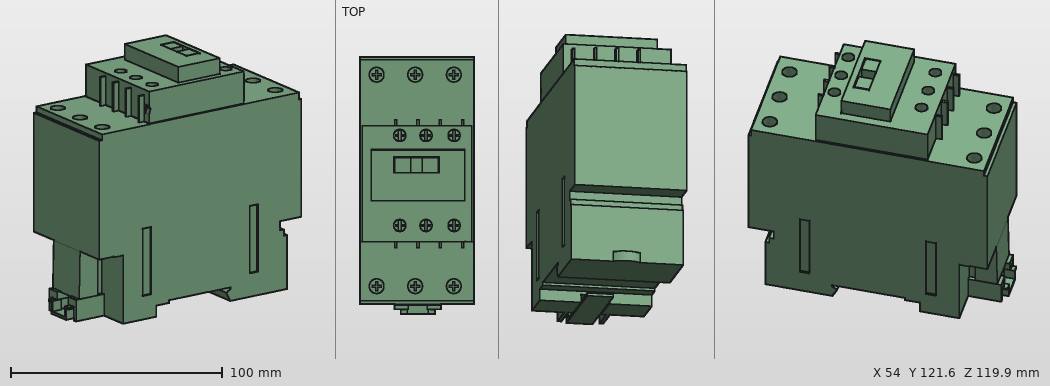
import cadquery as cq
WIDTH = 54.0
TOTAL_HEIGHT = 119.9
Y_BACK = 60.8
Y_FRONT = -60.8

HOUSING_TOP = 96.3
TOP_STEP = 0.1
TOP_STEP_Y = -26.5
BACK_LEDGE_Y = 59.5
BACK_LEDGE_Z = 92.7
FRONT_LEDGE_Y = -54.4
FRONT_LEDGE_Z = 93.2
FACE_Y = -56.1
OVERHANG_Z = 34.3
OVERHANG_STEP_Y = -47.6
OVERHANG_STEP_Z = 34.0
LOWER_FACE_Y = -42.4
NECK_Y = 48.5
NECK_Z = 29.8
SHOULDER_Y = 50.7
SHOULDER_Z = 26.8
FOOT_BACK_Y = 52.6

HOOK_BASE_Y = 19.7
HOOK_TIP_Y = 17.4
HOOK_TIP_Z = 4.5
HOOK_ROOT_Y = 20.0
HOOK_ROOT_Z = 6.1
RAIL_CEILING_Z = 6.8
RAIL_STEP_Y = -15.7
RAIL_STEP_Z = 5.5
RAIL_FRONT_Y = -23.0

SIDE_RECESSES = [(35.8, 31.0), (-25.9, -30.9)]
SIDE_RECESS_BOTTOM = 11.7
SIDE_RECESS_TOP = 45.0
SIDE_RECESS_DEPTH = 1.0

CENTRE_X = 0.4
COIL_WIDTH = 21.8
COIL_FACE_Y = -56.6
COIL_BOTTOM = 10.3
COIL_NECK_INSET = 1.8
COIL_NECK_LENGTH = 3.4
BRACKET_WIDTH = 22.0
BRACKET_FRONT_Y = -58.5
BRACKET_TOP = 10.7
BRACKET_NOTCH_WIDTH = 9.1
BRACKET_CAVITY_WIDTH = 18.4
BRACKET_CAVITY_TOP = 6.8

CLIP_WIDTH = 12.5
CLIP_BACK_Y = -10.6
CLIP_FLOOR = 1.3
CLIP_WALL = 1.3
CLIP_WALL_LENGTH = 5.1
CLIP_WALL_TOP = 6.5
CLIP_LIP_WIDTH = 16.3
CLIP_LIP_THICKNESS = 0.9
CLIP_LIP_LENGTH = 2.2
TUNNEL_WIDTH = 13.5
TUNNEL_TOP = 3.9

LUG_HEIGHT = 4.7
LUG_HALF_WIDTH = 6.6
LUG_LENGTH = 2.2

MAIN_SCREW_X = [-19.1, -0.9, 17.4]
MAIN_SCREW_Y = [52.5, -47.6]
MAIN_HOLE_DIAMETER = 6.9
MAIN_CROSS_LENGTH = 4.3
MAIN_CROSS_WIDTH = 1.0
HOLE_DEPTH = 12.2
CROSS_DEPTH = 1.0

AUX_WIDTH = 52.0
AUX_BACK_Y = 28.2
AUX_FRONT_Y = TOP_STEP_Y
AUX_TOP = 112.1
AUX_SCREW_X = [-8.2, 4.3, 17.5]
AUX_SCREW_Y = [23.7, -18.9]
AUX_HOLE_DIAMETER = 5.7
AUX_CROSS_X_LENGTH = 4.0
AUX_CROSS_X_WIDTH = 0.9
AUX_CROSS_Y_LENGTH = 4.9
AUX_CROSS_Y_WIDTH = 1.3

FINS = [(-10.0, 1.0, 110.5), (0.5, 1.3, 110.5), (11.0, 1.0, 110.1), (21.7, 1.0, 109.3)]
FIN_LENGTH = 2.9

NOTCH_LEFT_X = 22.9
NOTCH_BOTTOM = 100.6
NOTCH_APEX_Z = 103.3
NOTCH_TOP = 104.9
NOTCH_DEPTH = 0.9

COVER_LEFT_X = -21.7
COVER_RIGHT_X = 22.5
COVER_BACK_Y = 16.8
COVER_FRONT_Y = -7.2
COVER_GROOVE_WIDTH = 0.4
COVER_GROOVE_DEPTH = 0.4
WINDOW_LEFT_X = -11.0
WINDOW_RIGHT_X = 10.6
WINDOW_BACK_Y = 13.8
WINDOW_FRONT_Y = 6.1
WINDOW_DEPTH = 9.7
SLIDER_GAP = 0.5
SLOT_LEFT_X = -2.9
SLOT_RIGHT_X = 2.4
SLOT_DEPTH = 7.3


def block(x0, x1, y0, y1, z0, z1):
    """Box between the given limits."""
    return cq.Workplane("XY").box(x1 - x0, y1 - y0, z1 - z0, centered=False).translate((x0, y0, z0))


def centred_block(width, y0, y1, z0, z1):
    """Box of the given width about the mid-plane of the coil block and clip."""
    return block(CENTRE_X - width / 2, CENTRE_X + width / 2, y0, y1, z0, z1)


def yz_prism(points, x0, x1):
    """Outline of (y, z) points, extruded from x0 to x1."""
    return cq.Workplane("YZ", origin=(x0, 0, 0)).polyline(points).close().extrude(x1 - x0)


def screw_recesses(centres, top, diameter, x_arm, y_arm):
    """Round holes with a cross sunk into each floor; an arm is (size along X, size along Y)."""
    floor = top - HOLE_DEPTH
    holes = cq.Workplane("XY", origin=(0, 0, floor)).pushPoints(centres)
    holes = holes.circle(diameter / 2).extrude(HOLE_DEPTH)
    for arm in (x_arm, y_arm):
        cross = cq.Workplane("XY", origin=(0, 0, floor - CROSS_DEPTH)).pushPoints(centres)
        holes = holes.union(cross.rect(*arm).extrude(CROSS_DEPTH))
    return holes


def housing_shell():
    """Main outline with its overhangs, stepped back and rail recess."""
    front_top = HOUSING_TOP - TOP_STEP
    outline = [
        (BACK_LEDGE_Y, HOUSING_TOP),
        (BACK_LEDGE_Y, BACK_LEDGE_Z),
        (Y_BACK, BACK_LEDGE_Z),
        (Y_BACK, OVERHANG_Z),
        (NECK_Y, OVERHANG_Z),
        (NECK_Y, NECK_Z),
        (SHOULDER_Y, NECK_Z),
        (SHOULDER_Y, SHOULDER_Z),
        (FOOT_BACK_Y, SHOULDER_Z),
        (FOOT_BACK_Y, 0),
        (HOOK_BASE_Y, 0),
        (HOOK_TIP_Y, HOOK_TIP_Z),
        (HOOK_ROOT_Y, HOOK_ROOT_Z),
        (HOOK_ROOT_Y, RAIL_CEILING_Z),
        (RAIL_STEP_Y, RAIL_CEILING_Z),
        (RAIL_STEP_Y, RAIL_STEP_Z),
        (RAIL_FRONT_Y, RAIL_STEP_Z),
        (RAIL_FRONT_Y, 0),
        (LOWER_FACE_Y, 0),
        (LOWER_FACE_Y, OVERHANG_STEP_Z),
        (OVERHANG_STEP_Y, OVERHANG_STEP_Z),
        (OVERHANG_STEP_Y, OVERHANG_Z),
        (FACE_Y, OVERHANG_Z),
        (FACE_Y, FRONT_LEDGE_Z),
        (FRONT_LEDGE_Y, FRONT_LEDGE_Z),
        (FRONT_LEDGE_Y, front_top),
        (TOP_STEP_Y, front_top),
        (TOP_STEP_Y, HOUSING_TOP),
    ]
    return yz_prism(outline, -WIDTH / 2, WIDTH / 2)


def coil_block():
    """Block under the front overhang, narrower where it meets the housing."""
    neck_y = LOWER_FACE_Y - COIL_NECK_LENGTH
    head_outline = [
        (neck_y, OVERHANG_Z),
        (FACE_Y, OVERHANG_Z),
        (COIL_FACE_Y, COIL_BOTTOM),
        (neck_y, COIL_BOTTOM),
    ]
    head = yz_prism(head_outline, CENTRE_X - COIL_WIDTH / 2, CENTRE_X + COIL_WIDTH / 2)
    neck_width = COIL_WIDTH - 2 * COIL_NECK_INSET
    neck = centred_block(neck_width, neck_y, LOWER_FACE_Y, COIL_BOTTOM, OVERHANG_Z)
    return head.union(neck)


def bracket():
    """Guide around the front end of the clip, open at the bottom and notched in the middle."""
    limits_y = (BRACKET_FRONT_Y, LOWER_FACE_Y)
    body = centred_block(BRACKET_WIDTH, *limits_y, 0, BRACKET_TOP)
    cavity = centred_block(BRACKET_CAVITY_WIDTH, *limits_y, 0, BRACKET_CAVITY_TOP)
    notch = centred_block(BRACKET_NOTCH_WIDTH, *limits_y, 0, BRACKET_TOP)
    return body.cut(cavity).cut(notch)


def back_lug():
    """Shallow rounded lug at the foot of the back face."""
    lug = cq.Workplane("XY").moveTo(CENTRE_X - LUG_HALF_WIDTH, FOOT_BACK_Y)
    lug = lug.threePointArc(
        (CENTRE_X, FOOT_BACK_Y + LUG_LENGTH), (CENTRE_X + LUG_HALF_WIDTH, FOOT_BACK_Y)
    )
    return lug.close().extrude(LUG_HEIGHT)


def make_housing():
    body = housing_shell().union(bracket()).union(coil_block()).union(back_lug())

    for rear_y, front_y in SIDE_RECESSES:
        for outer_x in (-WIDTH / 2, WIDTH / 2 - SIDE_RECESS_DEPTH):
            inner_x = outer_x + SIDE_RECESS_DEPTH
            body = body.cut(
                block(outer_x, inner_x, front_y, rear_y, SIDE_RECESS_BOTTOM, SIDE_RECESS_TOP)
            )

    body = body.cut(centred_block(TUNNEL_WIDTH, LOWER_FACE_Y, RAIL_FRONT_Y, 0, TUNNEL_TOP))

    centres = [(x, y) for x in MAIN_SCREW_X for y in MAIN_SCREW_Y]
    x_arm = (MAIN_CROSS_LENGTH, MAIN_CROSS_WIDTH)
    y_arm = (MAIN_CROSS_WIDTH, MAIN_CROSS_LENGTH)
    return body.cut(screw_recesses(centres, HOUSING_TOP, MAIN_HOLE_DIAMETER, x_arm, y_arm))


def make_auxiliary_block():
    half = AUX_WIDTH / 2
    body = block(-half, half, AUX_FRONT_Y, AUX_BACK_Y, HOUSING_TOP, AUX_TOP)
    cover = block(COVER_LEFT_X, COVER_RIGHT_X, COVER_FRONT_Y, COVER_BACK_Y, AUX_TOP, TOTAL_HEIGHT)
    body = body.union(cover)

    for x, thickness, top in FINS:
        body = body.union(
            block(
                x - thickness / 2,
                x + thickness / 2,
                AUX_FRONT_Y - FIN_LENGTH,
                AUX_BACK_Y + FIN_LENGTH,
                HOUSING_TOP,
                top,
            )
        )

    body = body.cut(
        block(
            COVER_LEFT_X,
            COVER_RIGHT_X,
            COVER_BACK_Y,
            COVER_BACK_Y + COVER_GROOVE_WIDTH,
            AUX_TOP - COVER_GROOVE_DEPTH,
            AUX_TOP,
        )
    )

    window_floor = TOTAL_HEIGHT - WINDOW_DEPTH
    body = body.cut(
        block(WINDOW_LEFT_X, WINDOW_RIGHT_X, WINDOW_FRONT_Y, WINDOW_BACK_Y, window_floor, TOTAL_HEIGHT)
    )

    notch = [
        (AUX_FRONT_Y, NOTCH_BOTTOM),
        (AUX_FRONT_Y + NOTCH_DEPTH, NOTCH_APEX_Z),
        (AUX_FRONT_Y, NOTCH_TOP),
    ]
    body = body.cut(yz_prism(notch, NOTCH_LEFT_X, half))

    centres = [(x, y) for x in AUX_SCREW_X for y in AUX_SCREW_Y]
    x_arm = (AUX_CROSS_X_LENGTH, AUX_CROSS_X_WIDTH)
    y_arm = (AUX_CROSS_Y_WIDTH, AUX_CROSS_Y_LENGTH)
    return body.cut(screw_recesses(centres, AUX_TOP, AUX_HOLE_DIAMETER, x_arm, y_arm))


def make_slider():
    """Slider standing on the window floor, touching the front, with a slot across its top."""
    body = block(
        WINDOW_LEFT_X + SLIDER_GAP,
        WINDOW_RIGHT_X - SLIDER_GAP,
        WINDOW_FRONT_Y,
        WINDOW_BACK_Y - SLIDER_GAP,
        TOTAL_HEIGHT - WINDOW_DEPTH,
        TOTAL_HEIGHT,
    )
    slot = block(
        SLOT_LEFT_X, SLOT_RIGHT_X, WINDOW_FRONT_Y, WINDOW_BACK_Y, TOTAL_HEIGHT - SLOT_DEPTH, TOTAL_HEIGHT
    )
    return body.cut(slot)


def make_rail_clip():
    """Flat clip with a short channel and two outward lips at its front end."""
    wall_back_y = Y_FRONT + CLIP_WALL_LENGTH
    lip_back_y = Y_FRONT + CLIP_LIP_LENGTH
    lip_bottom = CLIP_WALL_TOP - CLIP_LIP_THICKNESS
    body = centred_block(CLIP_WIDTH, Y_FRONT, CLIP_BACK_Y, 0, CLIP_FLOOR)
    walls = centred_block(CLIP_WIDTH, Y_FRONT, wall_back_y, 0, CLIP_WALL_TOP)
    lips = centred_block(CLIP_LIP_WIDTH, Y_FRONT, lip_back_y, lip_bottom, CLIP_WALL_TOP)
    inner_width = CLIP_WIDTH - 2 * CLIP_WALL
    channel = centred_block(inner_width, Y_FRONT, wall_back_y, CLIP_FLOOR, CLIP_WALL_TOP)
    return body.union(walls).union(lips).cut(channel)


housing = make_housing()
auxiliary_block = make_auxiliary_block()
slider = make_slider()
rail_clip = make_rail_clip()

result = cq.Compound.makeCompound(
    [housing.val(), auxiliary_block.val(), slider.val(), rail_clip.val()]
)